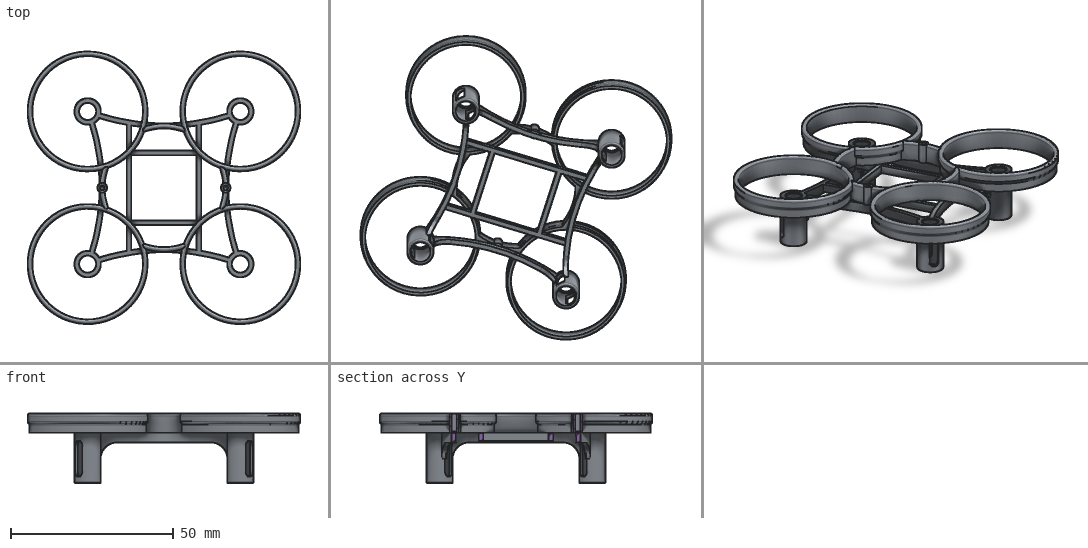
import math

import cadquery as cq

MOTOR_OFFSET = 23.5
TOTAL_HEIGHT = 21.5

DUCT_BORE_RADIUS = 17.0
DUCT_HEIGHT = 6.0
DUCT_LIP_THICKNESS = 1.5
DUCT_WALL_THICKNESS = 1.0
DUCT_BOTTOM = TOTAL_HEIGHT - DUCT_HEIGHT
LIP_BLEND_TOP = 19.0
LIP_BLEND_HEIGHT = 1.0

LINK_WALL_RADIUS = 19.0

TUBE_RADIUS = 8.2 / 2
TUBE_BORE_RADIUS = 6.2 / 2
TUBE_MOUTH_RADIUS = 5.2 / 2
TUBE_MOUTH_DEPTH = 0.5
TUBE_HEIGHT = DUCT_BOTTOM
TUBE_BOTTOM_FILLET = 0.5
SLOT_WIDTH = 3.0
SLOT_BOTTOM = 2.0
SLOT_TOP = 13.1

ARM_WIDTH = 1.5
ARM_HEIGHT = 3.0
ARM_MID_OFFSET = 19.1
ARM_BOTTOM = DUCT_BOTTOM - ARM_HEIGHT
ARM_ROOT_RADIUS = 5.0
ARM_ROOT_INSET = 0.1

FRAME_INNER = 20.0
BAR_WIDTH = 1.5
BAR_HEIGHT = 2.5

POST_RADIUS = 1.5
POST_HOLE_RADIUS = 1.5 / 2
DRILL_POINT_ANGLE = 118.0
POST_POINT_HEIGHT = POST_HOLE_RADIUS / math.tan(math.radians(DRILL_POINT_ANGLE / 2))

MOTOR_POSITIONS = [(sx * MOTOR_OFFSET, sy * MOTOR_OFFSET) for sx in (-1, 1) for sy in (-1, 1)]
POST_POSITIONS = (-LINK_WALL_RADIUS, LINK_WALL_RADIUS)
QUARTER_TURNS = (0, 90, 180, 270)


def cylinder(x, y, radius, bottom, top):
    return cq.Workplane("XY", origin=(x, y, bottom)).circle(radius).extrude(top - bottom)


def duct(x, y):
    """Ring with a fully rounded lip that blends into a thinner wall below."""
    lip_radius = DUCT_BORE_RADIUS + DUCT_LIP_THICKNESS
    wall_radius = DUCT_BORE_RADIUS + DUCT_WALL_THICKNESS
    crown = DUCT_LIP_THICKNESS / 2
    blend_mid = ((lip_radius + wall_radius) / 2, LIP_BLEND_TOP - LIP_BLEND_HEIGHT / 2)
    profile = (
        cq.Workplane("XZ")
        .moveTo(DUCT_BORE_RADIUS, DUCT_BOTTOM)
        .lineTo(wall_radius, DUCT_BOTTOM)
        .lineTo(wall_radius, LIP_BLEND_TOP - LIP_BLEND_HEIGHT)
        .tangentArcPoint(blend_mid, relative=False)
        .tangentArcPoint((lip_radius, LIP_BLEND_TOP), relative=False)
        .lineTo(lip_radius, TOTAL_HEIGHT - crown)
        .threePointArc((DUCT_BORE_RADIUS + crown, TOTAL_HEIGHT), (DUCT_BORE_RADIUS, TOTAL_HEIGHT - crown))
        .close()
    )
    return profile.revolve(360, (0, 0, 0), (0, 1, 0)).translate((x, y, 0))


def link_walls():
    """Round-topped ring about the centre, trimmed at the crown of each duct lip."""
    half = DUCT_LIP_THICKNESS / 2
    inner = LINK_WALL_RADIUS - half
    outer = LINK_WALL_RADIUS + half
    walls = (
        cq.Workplane("XZ")
        .moveTo(inner, DUCT_BOTTOM)
        .lineTo(outer, DUCT_BOTTOM)
        .lineTo(outer, TOTAL_HEIGHT - half)
        .threePointArc((LINK_WALL_RADIUS, TOTAL_HEIGHT), (inner, TOTAL_HEIGHT - half))
        .close()
        .revolve(360, (0, 0, 0), (0, 1, 0))
    )
    for x, y in MOTOR_POSITIONS:
        walls = walls.cut(cylinder(x, y, DUCT_BORE_RADIUS + half, DUCT_BOTTOM, TOTAL_HEIGHT))
    return walls


def arm():
    """Arc-shaped arm on the +Y side, running between two motor axes."""
    sagitta = MOTOR_OFFSET - ARM_MID_OFFSET
    radius = (MOTOR_OFFSET**2 + sagitta**2) / (2 * sagitta)
    centre_y = ARM_MID_OFFSET + radius
    band = cylinder(0, centre_y, radius + ARM_WIDTH / 2, 0, TUBE_HEIGHT).cut(
        cylinder(0, centre_y, radius - ARM_WIDTH / 2, 0, TUBE_HEIGHT)
    )

    root_start = MOTOR_OFFSET - TUBE_RADIUS + ARM_ROOT_INSET
    root_end = root_start - ARM_ROOT_RADIUS
    root_bottom = ARM_BOTTOM - ARM_ROOT_RADIUS
    bend = ARM_ROOT_RADIUS * math.sqrt(0.5)
    elevation = (
        cq.Workplane("XZ")
        .moveTo(-MOTOR_OFFSET, TUBE_HEIGHT)
        .lineTo(-MOTOR_OFFSET, root_bottom)
        .lineTo(-root_start, root_bottom)
        .threePointArc((-root_end - bend, root_bottom + bend), (-root_end, ARM_BOTTOM))
        .lineTo(root_end, ARM_BOTTOM)
        .threePointArc((root_end + bend, root_bottom + bend), (root_start, root_bottom))
        .lineTo(MOTOR_OFFSET, root_bottom)
        .lineTo(MOTOR_OFFSET, TUBE_HEIGHT)
        .close()
        .extrude(-MOTOR_OFFSET)
    )
    return band.intersect(elevation)


def motor_tube(x, y):
    tube = cylinder(x, y, TUBE_RADIUS, 0, TUBE_HEIGHT)
    return tube.faces("<Z").edges().fillet(TUBE_BOTTOM_FILLET)


def tube_cavity(x, y):
    """Stepped bore plus a tall round-ended slot through both diagonal sides."""
    bore = cylinder(x, y, TUBE_BORE_RADIUS, 0, TUBE_HEIGHT - TUBE_MOUTH_DEPTH)
    mouth = cylinder(x, y, TUBE_MOUTH_RADIUS, 0, TUBE_HEIGHT)
    slot = (
        cq.Workplane("XZ")
        .center(0, (SLOT_BOTTOM + SLOT_TOP) / 2)
        .slot2D(SLOT_TOP - SLOT_BOTTOM, SLOT_WIDTH, 90)
        .extrude(TUBE_RADIUS, both=True)
        .rotate((0, 0, 0), (0, 0, 1), math.degrees(math.atan2(-x, y)))
        .translate((x, y, 0))
    )
    return bore.union(mouth).union(slot)


def frame():
    """Two long bars reaching the arms, crossed by two short bars."""
    bar_centre = (FRAME_INNER + BAR_WIDTH) / 2
    short_length = FRAME_INNER + 2 * BAR_WIDTH
    long_length = 2 * ARM_MID_OFFSET + BAR_WIDTH
    base = cq.Workplane("XY", origin=(0, 0, DUCT_BOTTOM - BAR_HEIGHT))
    long_places = [(-bar_centre, 0), (bar_centre, 0)]
    short_places = [(0, -bar_centre), (0, bar_centre)]
    long_bars = base.pushPoints(long_places).rect(BAR_WIDTH, long_length).extrude(BAR_HEIGHT)
    short_bars = base.pushPoints(short_places).rect(short_length, BAR_WIDTH).extrude(BAR_HEIGHT)
    return long_bars.union(short_bars)


def post_hole(x):
    """Blind screw hole with a conical drill point that ends at the foot of the post."""
    profile = (
        cq.Workplane("XZ")
        .moveTo(0, DUCT_BOTTOM)
        .lineTo(POST_HOLE_RADIUS, DUCT_BOTTOM + POST_POINT_HEIGHT)
        .lineTo(POST_HOLE_RADIUS, TOTAL_HEIGHT)
        .lineTo(0, TOTAL_HEIGHT)
        .close()
    )
    return profile.revolve(360, (0, 0, 0), (0, 1, 0)).translate((x, 0, 0))


def fuse(parts):
    """Join a list of workplanes in one operation."""
    return cq.Workplane(parts[0].val().fuse(*[solid for part in parts[1:] for solid in part.vals()]))


parts = [frame(), link_walls()]
parts += [arm().rotate((0, 0, 0), (0, 0, 1), angle) for angle in QUARTER_TURNS]
parts += [motor_tube(x, y) for x, y in MOTOR_POSITIONS]
parts += [duct(x, y) for x, y in MOTOR_POSITIONS]
parts += [cylinder(x, 0, POST_RADIUS, DUCT_BOTTOM, TOTAL_HEIGHT) for x in POST_POSITIONS]
body = fuse(parts)

for x, y in MOTOR_POSITIONS:
    body = body.cut(tube_cavity(x, y))
for x in POST_POSITIONS:
    body = body.cut(post_hole(x))

result = cq.Workplane(body.solids().val())